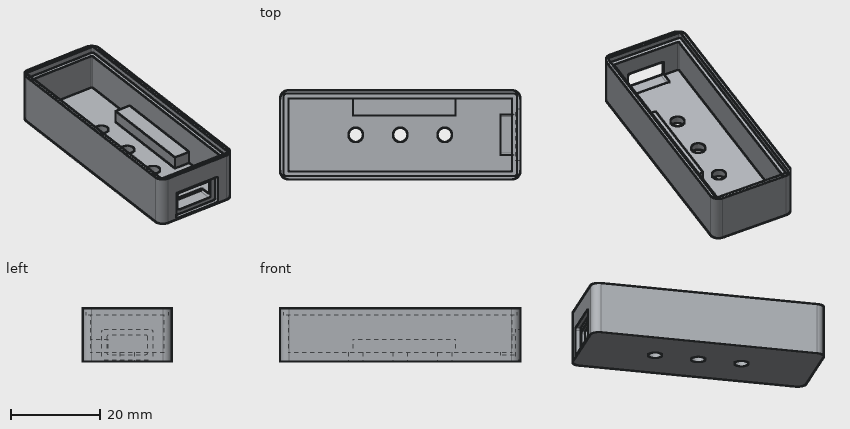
import cadquery as cq

length = 54.0
width = 20.1
height = 12.0
corner_radius = 2.0
floor_thickness = 2.0

end_wall = 1.9
side_wall = 1.85
cavity_length = length - 2 * end_wall
cavity_width = width - 2 * side_wall
cavity_corner_radius = 0.2
rim_wall = 0.8
seat_depth = 1.5
seat_corner_radius = 0.5

block_length = 22.95
block_width = 3.9
block_height = 2.95
block_center_x = 0.9

hole_diameter = 3.2
hole_spacing = 10.0
hole_count = 3

opening_width = 9.15
opening_rise = 4.0
opening_sink = 0.5
opening_corner_radius = 0.5
opening_start_x = 22.45

recess_margin = 1.2
web_thickness = 0.75


def rounded_block(size_x, size_y, bottom, top, radius):
    """Centred upright block with rounded vertical edges."""
    block = cq.Workplane("XY").workplane(offset=bottom).rect(size_x, size_y).extrude(top - bottom)
    return block.edges("|Z").fillet(radius)


def floor_block():
    center_y = (cavity_width - block_width) / 2
    return (
        cq.Workplane("XY")
        .box(block_length, block_width + side_wall / 2, block_height + floor_thickness / 2)
        .translate((
            block_center_x,
            center_y + side_wall / 4,
            floor_thickness + block_height / 2 - floor_thickness / 4,
        ))
    )


def floor_holes():
    return (
        cq.Workplane("XY")
        .rarray(hole_spacing, 0.55, hole_count, 1)
        .circle(hole_diameter / 2)
        .extrude(floor_thickness)
    )


def end_wall_cut(start_x, margin):
    """Rounded slot running out through the +X wall, grown by a margin on every side."""
    opening_height = opening_rise + opening_sink
    center_z = floor_thickness - opening_sink + opening_height / 2
    return (
        cq.Workplane("YZ")
        .workplane(offset=start_x)
        .center(0, center_z)
        .rect(opening_width + 2 * margin, opening_height + 2 * margin)
        .extrude(length / 2 - start_x)
        .edges("|X")
        .fillet(opening_corner_radius)
    )


recess_start_x = cavity_length / 2 + web_thickness
seat_bottom = height - seat_depth
case = rounded_block(length, width, 0, height, corner_radius)
cavity = rounded_block(cavity_length, cavity_width, floor_thickness, height, cavity_corner_radius)
lid_seat = rounded_block(
    length - 2 * rim_wall, width - 2 * rim_wall, seat_bottom, height, seat_corner_radius
)

result = (
    case.cut(cavity)
    .cut(lid_seat)
    .union(floor_block())
    .cut(floor_holes())
    .cut(end_wall_cut(opening_start_x, 0))
    .cut(end_wall_cut(recess_start_x, recess_margin))
)